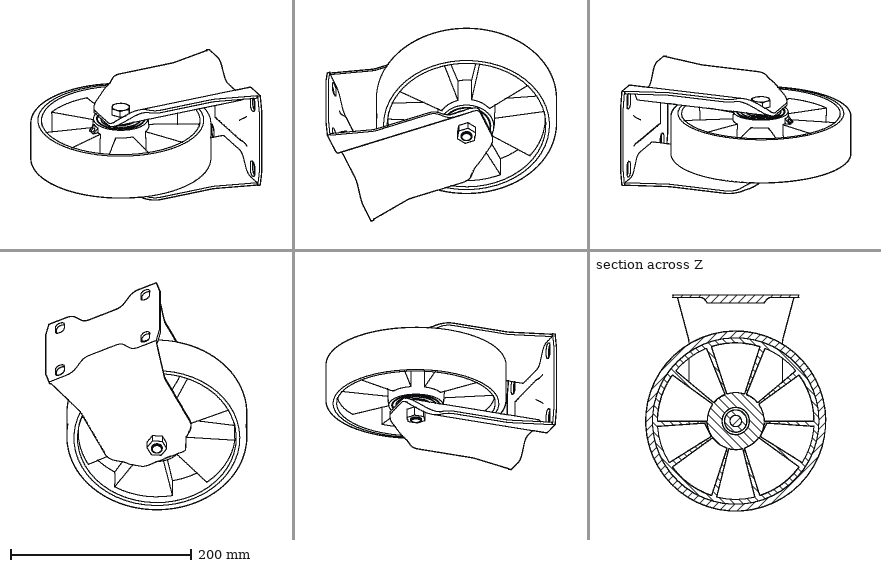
import cadquery as cq
import math


WHEEL_RADIUS = 100.0
WHEEL_HALF_WIDTH = 25.0
TREAD_INNER_RADIUS = 92.0
TREAD_SHOULDER_DROP = 1.8
TREAD_EDGE_FILLET = 2.4

RIM_INNER_RADIUS = 88.0
RIM_MIDDLE_RADIUS = 86.6
HUB_RADIUS = 30.3
HUB_MIDDLE_RADIUS = 31.9
HUB_HALF_LENGTH = 27.25
WEB_HEIGHT_AT_HUB = 18.3
WEB_HEIGHT_AT_RIM = 15.2
WEB_THICKNESS = 2.5
WEB_INNER_RADIUS = 28.0
WEB_OUTER_RADIUS = 90.0
SECTOR_COUNT = 10
SECTOR_ANGLE = 360.0 / SECTOR_COUNT
SPOKE_WALL_ANGLE = 4.0
HUB_BORE_DIAMETER = 30.0
HUB_MOUTH_CHAMFER = 0.9

PORT_WIDTH = 10.0
PORT_TOP_Y = -30.3
PORT_TOP_Z = 24.0
PORT_ROOT_Y = -28.0
PORT_FACE_RUN = 7.6
PORT_DIMPLE_DIAMETER = 5.0
PORT_DIMPLE_DEPTH = 1.5

BEARING_DIAMETER = 52.0
BEARING_WIDTH = 15.0
OUTER_RACE_INNER_DIAMETER = 44.3
INNER_RACE_OUTER_DIAMETER = 32.7
SHIELD_RECESS = 0.8

SHEET = 3.0
PLATE_BACK_Y = 140.0
PLATE_THICKNESS = 3.2
PLATE_HALF_WIDTH = 70.0
PLATE_HALF_HEIGHT = 55.0
PLATE_CORNER_HALF_WIDTH = 66.0
PLATE_SIDE_HALF_HEIGHT = 37.0
SLOT_SPACING_X = 105.0
SLOT_SPACING_Z = 80.0
SLOT_WIDTH = 11.0
SLOT_LENGTH = 18.0

LEG_INNER_Z = 31.0
LEG_OUTER_Z = LEG_INNER_Z + SHEET
LEG_SLOPE_ANGLE = 55.0
LEG_LOWER_BEND = 12.5
LEG_OUTER_UPPER_BEND = 14.0
LEG_INNER_UPPER_BEND = 15.0
LEG_OUTER_FLAT_HALF_WIDTH = 16.1
LEG_INNER_FLAT_HALF_WIDTH = 18.9

LEG_ROOT_HALF_WIDTH = 65.5
LEG_HALF_WIDTH = 52.0
LEG_NECK_Y = 89.4
LEG_SHOULDER_Y = 17.4
LEG_KINK_X = 38.6
LEG_KINK_Y = 5.7
LEG_TIP_HALF_WIDTH = 24.2
LEG_TIP_Y = -23.3
LEG_NECK_RADIUS = 20.0
LEG_SIDE_RADIUS = 15.0
LEG_TIP_RADIUS = 10.0

EMBOSS_HEIGHT = 6.0
EMBOSS_HALF_LENGTH = 31.6
EMBOSS_HALF_HEIGHT = 12.0
EMBOSS_FLARE = 4.3
EMBOSS_ROOT_FILLET = 6.0
EMBOSS_EDGE_FILLET = 1.5
EMBOSS_SEARCH_HALF_SIZE = EMBOSS_HALF_LENGTH + EMBOSS_FLARE + 1.0
SELECTION_MARGIN = 0.1

SLEEVE_DIAMETER = 25.0
BOLT_DIAMETER = 12.0
BOLT_TIP_DIAMETER = 10.11
HEX_ACROSS_FLATS = 19.0
HEX_TURN = 30.0
HEX_ACROSS_CORNERS = HEX_ACROSS_FLATS / math.cos(math.radians(HEX_TURN))
BOLT_HEAD_HEIGHT = 7.5
HEAD_CHAMFER_HEIGHT = 0.6
NUT_HEIGHT = 10.0
BOLT_END_Z = -46.2


def web_height(radius):
    """Height of the conical web face above the wheel mid-plane at a given radius."""
    fall = (WEB_HEIGHT_AT_HUB - WEB_HEIGHT_AT_RIM) / (RIM_INNER_RADIUS - HUB_RADIUS)
    return WEB_HEIGHT_AT_HUB - fall * (radius - HUB_RADIUS)


def revolved(points, angle=360.0):
    """Revolve a closed outline of (radius, z) points about the Z axis, starting at +X."""
    outline = cq.Workplane("XZ").polyline(points).close()
    return outline.revolve(angle, (0, 0, 0), (0, 1, 0))


def cylinder(diameter, bottom, top):
    return cq.Workplane("XY").workplane(offset=bottom).circle(diameter / 2).extrude(top - bottom)


def mirrored_in_z(shape):
    return shape.mirror("XY")


def make_tread():
    shoulder = WHEEL_HALF_WIDTH - TREAD_SHOULDER_DROP
    ring = revolved([
        (TREAD_INNER_RADIUS, -WHEEL_HALF_WIDTH),
        (WHEEL_RADIUS, -shoulder),
        (WHEEL_RADIUS, shoulder),
        (TREAD_INNER_RADIUS, WHEEL_HALF_WIDTH),
    ])
    outer_edges = cq.selectors.RadiusNthSelector(-1)
    return ring.edges("%CIRCLE").edges(outer_edges).fillet(TREAD_EDGE_FILLET)


def revolved_with_curved_wall(back_radius, end_radius, middle_radius, half_length):
    """Ring or disc with one wall curving through middle_radius between equal ends."""
    outline = (
        cq.Workplane("XZ")
        .moveTo(back_radius, -half_length)
        .lineTo(end_radius, -half_length)
        .threePointArc((middle_radius, 0), (end_radius, half_length))
        .lineTo(back_radius, half_length)
        .close()
    )
    return outline.revolve(360, (0, 0, 0), (0, 1, 0))


def make_hub():
    """Solid hub with a slightly barrelled wall."""
    return revolved_with_curved_wall(0, HUB_RADIUS, HUB_MIDDLE_RADIUS, HUB_HALF_LENGTH)


def make_rim():
    """Ring under the tread; its inner wall narrows slightly towards the middle."""
    return revolved_with_curved_wall(
        TREAD_INNER_RADIUS, RIM_INNER_RADIUS, RIM_MIDDLE_RADIUS, WHEEL_HALF_WIDTH
    )


def make_pocket(start_angle, sweep):
    """Sector pocket open to +Z; its floor is the inside of the web on the -Z side."""
    pocket = revolved([
        (WEB_INNER_RADIUS, WEB_THICKNESS - web_height(WEB_INNER_RADIUS)),
        (WEB_OUTER_RADIUS, WEB_THICKNESS - web_height(WEB_OUTER_RADIUS)),
        (WEB_OUTER_RADIUS, WHEEL_HALF_WIDTH),
        (WEB_INNER_RADIUS, WHEEL_HALF_WIDTH),
    ], sweep)
    return pocket.rotate((0, 0, 0), (0, 0, 1), start_angle)


def make_web():
    """Folded web: sectors alternate between the two sides, joined by radial walls."""
    web = revolved([
        (0, -web_height(0)),
        (WEB_OUTER_RADIUS, -web_height(WEB_OUTER_RADIUS)),
        (WEB_OUTER_RADIUS, web_height(WEB_OUTER_RADIUS)),
        (0, web_height(0)),
    ])
    for pair in range(SECTOR_COUNT // 2):
        top_start = 2 * pair * SECTOR_ANGLE
        under_start = top_start + SECTOR_ANGLE + SPOKE_WALL_ANGLE
        web = web.cut(make_pocket(top_start, SECTOR_ANGLE))
        under = make_pocket(under_start, SECTOR_ANGLE - 2 * SPOKE_WALL_ANGLE)
        web = web.cut(mirrored_in_z(under))
    return web


def make_grease_port():
    """Block on the hub whose dimpled square face leans back at 45 degrees."""
    side = [
        (PORT_TOP_Y, PORT_TOP_Z),
        (PORT_TOP_Y - PORT_FACE_RUN, PORT_TOP_Z - PORT_FACE_RUN),
        (PORT_TOP_Y, PORT_TOP_Z - 2 * PORT_FACE_RUN),
        (PORT_ROOT_Y, PORT_TOP_Z - 2 * PORT_FACE_RUN),
        (PORT_ROOT_Y, PORT_TOP_Z),
    ]
    block = cq.Workplane("YZ").polyline(side).close().extrude(PORT_WIDTH / 2, both=True)
    face_centre = (0, PORT_TOP_Y - PORT_FACE_RUN / 2, PORT_TOP_Z - PORT_FACE_RUN / 2)
    dimple = cq.Solid.makeCone(
        PORT_DIMPLE_DIAMETER / 2, 0, PORT_DIMPLE_DEPTH, cq.Vector(*face_centre), cq.Vector(0, 1, -1)
    )
    return block.cut(cq.Workplane(dimple))


def make_wheel():
    wheel = make_web().union(make_hub()).union(make_rim())
    wheel = wheel.union(make_grease_port())
    wheel = wheel.cut(cylinder(HUB_BORE_DIAMETER, -HUB_HALF_LENGTH, HUB_HALF_LENGTH))
    seat_floor = HUB_HALF_LENGTH - BEARING_WIDTH
    seat_radius = BEARING_DIAMETER / 2
    seat = revolved([
        (0, seat_floor),
        (seat_radius, seat_floor),
        (seat_radius, HUB_HALF_LENGTH - HUB_MOUTH_CHAMFER),
        (seat_radius + HUB_MOUTH_CHAMFER, HUB_HALF_LENGTH),
        (0, HUB_HALF_LENGTH),
    ])
    return wheel.cut(seat).cut(mirrored_in_z(seat))


def make_bearing(bottom):
    top = bottom + BEARING_WIDTH
    ring = cylinder(BEARING_DIAMETER, bottom, top).cut(cylinder(SLEEVE_DIAMETER, bottom, top))
    for low in (bottom, top - SHIELD_RECESS):
        groove = cylinder(OUTER_RACE_INNER_DIAMETER, low, low + SHIELD_RECESS)
        inner_race = cylinder(INNER_RACE_OUTER_DIAMETER, low, low + SHIELD_RECESS)
        ring = ring.cut(groove.cut(inner_race))
    return ring


def leg_surface(flat_z, flat_half_width, upper_bend):
    """Points along the right half of one sheet face, from the middle flat out to the flange.

    A lower bend, a straight slope and an upper bend together lift the face from flat to flange.
    """
    angle = math.radians(LEG_SLOPE_ANGLE)
    sin_a = math.sin(angle)
    cos_a = math.cos(angle)
    sin_half = math.sin(angle / 2)
    cos_half = math.cos(angle / 2)

    lift = PLATE_HALF_HEIGHT - LEG_OUTER_Z
    slope_rise = lift - (LEG_LOWER_BEND + upper_bend) * (1 - cos_a)
    slope_run = slope_rise / math.tan(angle)
    flange_start = flat_half_width + (LEG_LOWER_BEND + upper_bend) * sin_a + slope_run

    lower_centre_z = flat_z + LEG_LOWER_BEND
    upper_centre_z = flat_z + lift - upper_bend
    flat_end = (flat_half_width, flat_z)
    lower_mid = (flat_half_width + LEG_LOWER_BEND * sin_half, lower_centre_z - LEG_LOWER_BEND * cos_half)
    lower_end = (flat_half_width + LEG_LOWER_BEND * sin_a, lower_centre_z - LEG_LOWER_BEND * cos_a)
    upper_end = (flange_start - upper_bend * sin_a, upper_centre_z + upper_bend * cos_a)
    upper_mid = (flange_start - upper_bend * sin_half, upper_centre_z + upper_bend * cos_half)
    flange = (flange_start, flat_z + lift)
    return flat_end, lower_mid, lower_end, upper_end, upper_mid, flange


def flipped(point):
    return (-point[0], point[1])


def solid_below(face_points):
    """Solid along Y between the wheel mid-plane and one face of the bent sheet."""
    flat_end, lower_mid, lower_end, upper_end, upper_mid, flange = face_points
    edge = (PLATE_HALF_WIDTH, flange[1])
    outline = (
        cq.Workplane("XZ", origin=(0, PLATE_BACK_Y, 0))
        .moveTo(-PLATE_HALF_WIDTH, 0)
        .lineTo(*flipped(edge))
        .lineTo(*flipped(flange))
        .threePointArc(flipped(upper_mid), flipped(upper_end))
        .lineTo(*flipped(lower_end))
        .threePointArc(flipped(lower_mid), flipped(flat_end))
        .lineTo(*flat_end)
        .threePointArc(lower_mid, lower_end)
        .lineTo(*upper_end)
        .threePointArc(upper_mid, flange)
        .lineTo(*edge)
        .lineTo(PLATE_HALF_WIDTH, 0)
        .close()
    )
    return outline.extrude(PLATE_BACK_Y - LEG_TIP_Y)


def make_leg_blank():
    """Plan outline of a fork leg as a tall prism with rounded corners."""
    right = [
        (LEG_ROOT_HALF_WIDTH, PLATE_BACK_Y),
        (LEG_HALF_WIDTH, LEG_NECK_Y),
        (LEG_HALF_WIDTH, LEG_SHOULDER_Y),
        (LEG_KINK_X, LEG_KINK_Y),
        (LEG_TIP_HALF_WIDTH, LEG_TIP_Y),
    ]
    left = [flipped(point) for point in reversed(right)]
    blank = cq.Workplane("XY").polyline(right + left).close().extrude(PLATE_HALF_HEIGHT)
    corner_radii = [
        (LEG_HALF_WIDTH, LEG_NECK_Y, LEG_NECK_RADIUS),
        (LEG_HALF_WIDTH, LEG_SHOULDER_Y, LEG_SIDE_RADIUS),
        (LEG_KINK_X, LEG_KINK_Y, LEG_SIDE_RADIUS),
        (LEG_TIP_HALF_WIDTH, LEG_TIP_Y, LEG_TIP_RADIUS),
    ]
    middle_z = PLATE_HALF_HEIGHT / 2
    for x, y, radius in corner_radii:
        for side in (-1, 1):
            nearest = cq.selectors.NearestToPointSelector((side * x, y, middle_z))
            blank = blank.edges("|Z").edges(nearest).fillet(radius)
    return blank


def make_plate():
    corners = [
        (PLATE_HALF_WIDTH, -PLATE_SIDE_HALF_HEIGHT),
        (PLATE_HALF_WIDTH, PLATE_SIDE_HALF_HEIGHT),
        (PLATE_CORNER_HALF_WIDTH, PLATE_HALF_HEIGHT),
        (-PLATE_CORNER_HALF_WIDTH, PLATE_HALF_HEIGHT),
        (-PLATE_HALF_WIDTH, PLATE_SIDE_HALF_HEIGHT),
        (-PLATE_HALF_WIDTH, -PLATE_SIDE_HALF_HEIGHT),
        (-PLATE_CORNER_HALF_WIDTH, -PLATE_HALF_HEIGHT),
        (PLATE_CORNER_HALF_WIDTH, -PLATE_HALF_HEIGHT),
    ]
    back = cq.Workplane("XZ", origin=(0, PLATE_BACK_Y, 0))
    plate = back.polyline(corners).close().extrude(PLATE_THICKNESS)
    plate = plate.union(make_emboss())
    face_y = PLATE_BACK_Y - PLATE_THICKNESS
    root_edges = cq.selectors.BoxSelector(
        (-EMBOSS_SEARCH_HALF_SIZE, face_y - SELECTION_MARGIN, -EMBOSS_SEARCH_HALF_SIZE),
        (EMBOSS_SEARCH_HALF_SIZE, face_y + SELECTION_MARGIN, EMBOSS_SEARCH_HALF_SIZE),
    )
    plate = plate.edges(root_edges).fillet(EMBOSS_ROOT_FILLET)
    plate = plate.faces("<Y").edges().fillet(EMBOSS_EDGE_FILLET)
    slots = (
        back.rect(SLOT_SPACING_X, SLOT_SPACING_Z, forConstruction=True)
        .vertices()
        .slot2D(SLOT_LENGTH, SLOT_WIDTH, 90)
        .extrude(PLATE_THICKNESS)
    )
    return plate.cut(slots)


def make_emboss():
    """Raised rectangle with flared sides on the wheel side of the plate."""
    return (
        cq.Workplane("XZ", origin=(0, PLATE_BACK_Y - PLATE_THICKNESS, 0))
        .rect(2 * (EMBOSS_HALF_LENGTH + EMBOSS_FLARE), 2 * (EMBOSS_HALF_HEIGHT + EMBOSS_FLARE))
        .extrude(EMBOSS_HEIGHT, taper=math.degrees(math.atan(EMBOSS_FLARE / EMBOSS_HEIGHT)))
    )


def make_fork():
    outer_face = leg_surface(LEG_OUTER_Z, LEG_OUTER_FLAT_HALF_WIDTH, LEG_OUTER_UPPER_BEND)
    inner_face = leg_surface(LEG_INNER_Z, LEG_INNER_FLAT_HALF_WIDTH, LEG_INNER_UPPER_BEND)
    under_outer = solid_below(outer_face)
    under_inner = solid_below(inner_face)
    leg = under_outer.cut(under_inner).intersect(make_leg_blank())
    legs = leg.union(mirrored_in_z(leg))
    envelope = under_outer.union(mirrored_in_z(under_outer))
    plate = make_plate().intersect(envelope)
    fork = plate.union(legs)
    return fork.cut(cylinder(BOLT_DIAMETER, -PLATE_HALF_HEIGHT, PLATE_HALF_HEIGHT))


def make_sleeve():
    tube = cylinder(SLEEVE_DIAMETER, -LEG_INNER_Z, LEG_INNER_Z)
    return tube.cut(cylinder(BOLT_DIAMETER, -LEG_INNER_Z, LEG_INNER_Z))


def hex_prism(bottom, height):
    """Hexagon with two corners on the Y axis."""
    hexagon = cq.Workplane("XY").workplane(offset=bottom).polygon(6, HEX_ACROSS_CORNERS)
    return hexagon.extrude(height).rotate((0, 0, 0), (0, 0, 1), HEX_TURN)


def make_bolt():
    head_top = LEG_OUTER_Z + BOLT_HEAD_HEIGHT
    flat_radius = HEX_ACROSS_FLATS / 2
    corner_radius = HEX_ACROSS_CORNERS / 2
    corner_trim = revolved([
        (0, LEG_OUTER_Z),
        (corner_radius, LEG_OUTER_Z),
        (corner_radius, head_top - HEAD_CHAMFER_HEIGHT),
        (flat_radius, head_top),
        (0, head_top),
    ])
    head = hex_prism(LEG_OUTER_Z, BOLT_HEAD_HEIGHT).intersect(corner_trim)
    shank = cylinder(BOLT_DIAMETER, BOLT_END_Z, LEG_OUTER_Z)
    shank = shank.faces("<Z").chamfer((BOLT_DIAMETER - BOLT_TIP_DIAMETER) / 2)
    return head.union(shank)


def make_nut():
    bottom = -LEG_OUTER_Z - NUT_HEIGHT
    return hex_prism(bottom, NUT_HEIGHT).cut(cylinder(BOLT_DIAMETER, bottom, -LEG_OUTER_Z))


tread = make_tread()
wheel = make_wheel()
bearings = [make_bearing(z) for z in (-HUB_HALF_LENGTH, HUB_HALF_LENGTH - BEARING_WIDTH)]
fork = make_fork()
sleeve = make_sleeve()
bolt = make_bolt()
nut = make_nut()

result = cq.Compound.makeCompound([
    tread.solids().val(),
    wheel.solids().val(),
    *[bearing.solids().val() for bearing in bearings],
    fork.solids().val(),
    sleeve.solids().val(),
    bolt.solids().val(),
    nut.solids().val(),
])